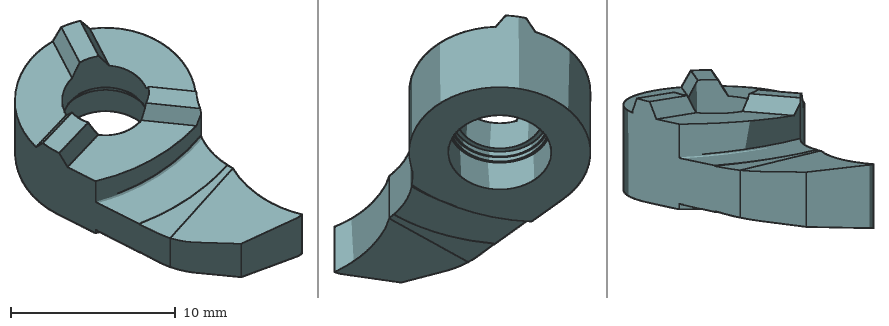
import cadquery as cq
import math


hub_radius = 5.5
hub_height = 5.28
bore_radius = 2.63

recess_steps = [
    (2.92, 3.08),
    (3.0, 2.67),
    (3.12, 2.32),
]

lug_count = 3
lug_start_angle = 30
lug_height = 1.0
lug_base_width = 2.44
lug_top_width = 1.25

overall_length = 19.5
tip_x = overall_length - hub_radius
tip_y = 1.27
under_slope = 5.0
heel_slope = 32.7
neck_arc_angle = 52.0
neck_radius = 4.7
under_line_end_x = 7.66
heel_arc_end_x = 9.83
heel_corner = (12.28, -2.57)
nose_start = (13.85, 0.72)
nose_middle = (13.96, 1.0)
rake_middle = (11.65, 0.85)
rake_start = (9.22, 1.25)

joint_x = 8.5

tip_bottom_z = -0.21
tip_top_z = 3.75
blade_middle_z = (tip_bottom_z + tip_top_z) / 2
tip_half_thickness = (tip_top_z - tip_bottom_z) / 2
length_taper = 0.025
side_taper = 0.063
neck_half_thickness = 1.83
nose_land_x = 13.79

wall_top = (5.54, 2.26)
wall_middle = (5.36, -0.27)
wall_bottom = (3.22, -5.23)
wall_foot_radius = 0.14

neck_limit_top = (8.07, 1.29)
neck_limit_middle = (7.27, -2.92)
neck_limit_bottom = (6.38, -4.84)

margin = 7.8
blade_side_y = 7.8


def on_circle(radius, degrees):
    angle = math.radians(degrees)
    return radius * math.cos(angle), radius * math.sin(angle)


def outline_prism(bottom_z, top_z):
    """Full plan outline of hub, neck and tip."""
    under_start = on_circle(hub_radius, under_slope - 90)
    under_rise = math.tan(math.radians(under_slope))
    under_end_y = under_start[1] + (under_line_end_x - under_start[0]) * under_rise
    heel_rise = math.tan(math.radians(heel_slope))
    heel_arc_end_y = heel_corner[1] - (heel_corner[0] - heel_arc_end_x) * heel_rise
    neck_start_angle = 90 - neck_arc_angle
    neck_start = on_circle(hub_radius, neck_start_angle)
    neck_center = on_circle(hub_radius + neck_radius, neck_start_angle)
    neck_end = (neck_center[0], neck_center[1] - neck_radius)
    half_turn = on_circle(neck_radius, -90 - neck_arc_angle / 2)
    neck_middle = (neck_center[0] + half_turn[0], neck_center[1] + half_turn[1])
    return (
        cq.Workplane("XY", origin=(0, 0, bottom_z))
        .moveTo(*under_start)
        .lineTo(under_line_end_x, under_end_y)
        .tangentArcPoint((heel_arc_end_x, heel_arc_end_y), relative=False)
        .lineTo(*heel_corner)
        .lineTo(*nose_start)
        .threePointArc(nose_middle, (tip_x, tip_y))
        .threePointArc(rake_middle, rake_start)
        .lineTo(joint_x, neck_end[1])
        .lineTo(*neck_end)
        .threePointArc(neck_middle, neck_start)
        .threePointArc((-hub_radius, 0), under_start)
        .close()
        .extrude(top_z - bottom_z)
    )


def region_behind_arc(top, middle, bottom):
    """Tall solid covering everything on the hub side of a curved wall."""
    return (
        cq.Workplane("XY", origin=(0, 0, -margin))
        .moveTo(top[0], margin)
        .lineTo(*top)
        .threePointArc(middle, bottom)
        .lineTo(bottom[0], -margin)
        .lineTo(-margin, -margin)
        .lineTo(-margin, margin)
        .close()
        .extrude(3 * margin)
    )


def hub_region():
    return region_behind_arc(wall_top, wall_middle, wall_bottom)


def blade_section(x, half_thickness, crest_y):
    """Cross-section wire: thickest from crest_y upward in Y, thinner below it."""
    crest = half_thickness + side_taper * (crest_y - tip_y)
    low = half_thickness - side_taper * (blade_side_y + tip_y)
    points = [
        (-blade_side_y, low), (crest_y, crest), (blade_side_y, crest),
        (blade_side_y, -crest), (crest_y, -crest), (-blade_side_y, -low),
    ]
    return cq.Wire.makePolygon(
        [cq.Vector(x, y, blade_middle_z + z) for y, z in points], close=True
    )


def blade_stock(start_x, start_half, end_x, end_half, crest_y):
    sections = [
        blade_section(start_x, start_half, crest_y),
        blade_section(end_x, end_half, crest_y),
    ]
    return cq.Workplane(obj=cq.Solid.makeLoft(sections, True))


def tapered_stock(start_x, end_x):
    """Blade stock that grows thicker toward the nose land."""
    start_half = tip_half_thickness - length_taper * (nose_land_x - start_x)
    end_half = tip_half_thickness - length_taper * (nose_land_x - end_x)
    return blade_stock(start_x, start_half, end_x, end_half, tip_y)


def drive_lugs():
    base_half = lug_base_width / 2
    top_half = lug_top_width / 2
    lugs = cq.Workplane("XY")
    for index in range(lug_count):
        lug = (
            cq.Workplane("YZ", origin=(0, 0, hub_height))
            .polyline([
                (-base_half, 0), (base_half, 0),
                (top_half, lug_height), (-top_half, lug_height),
            ])
            .close()
            .extrude(margin)
            .rotate((0, 0, 0), (0, 0, 1), lug_start_angle + index * 360 / lug_count)
        )
        lugs = lugs.add(lug)
    lug_envelope = outline_prism(hub_height, hub_height + lug_height).intersect(hub_region())
    return lugs.combine().intersect(lug_envelope)


def bore_and_recess():
    bore = cq.Workplane("XY").circle(bore_radius).extrude(hub_height + lug_height)
    for radius, depth in recess_steps:
        bore = bore.union(cq.Workplane("XY").circle(radius).extrude(depth))
    return bore


def neck_with_wall_foot():
    """Oversize neck stock and hub block, with the upper foot of the wall rounded."""
    hub_slab = cq.Workplane("XY").box(4 * margin, 4 * margin, hub_height, centered=(True, True, False))
    hub_block = hub_region().intersect(hub_slab)
    neck = blade_stock(0, neck_half_thickness, joint_x, neck_half_thickness, blade_side_y / 2)
    wall_foot = cq.selectors.BoxSelector(
        (wall_bottom[0], wall_bottom[1], blade_middle_z),
        (wall_top[0], wall_top[1], hub_height - lug_height),
    )
    return hub_block.union(neck).edges(wall_foot).fillet(wall_foot_radius)


def make_holder():
    blade_outline = outline_prism(-margin, margin)
    neck_limit = region_behind_arc(neck_limit_top, neck_limit_middle, neck_limit_bottom)
    hub = outline_prism(0, hub_height).intersect(hub_region())
    inner_neck = neck_with_wall_foot().intersect(blade_outline).intersect(neck_limit).cut(hub_region())
    outer_neck = tapered_stock(0, joint_x).intersect(blade_outline).cut(neck_limit)
    return (
        hub.union(inner_neck)
        .union(outer_neck)
        .union(drive_lugs())
        .cut(bore_and_recess())
    )


def make_cutting_tip():
    blade_outline = outline_prism(-margin, margin)
    tapered = tapered_stock(joint_x, nose_land_x)
    nose = blade_stock(nose_land_x, tip_half_thickness, tip_x + margin, tip_half_thickness, tip_y)
    return tapered.union(nose).intersect(blade_outline)


holder = make_holder()
cutting_tip = make_cutting_tip()

result = cq.Compound.makeCompound([holder.solids().val(), cutting_tip.solids().val()])